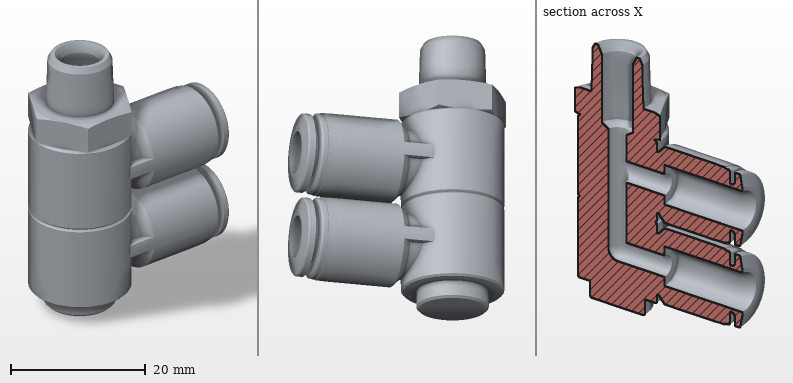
import cadquery as cq
import math


total_height = 41.6
pin_height = 2.65
sleeve_height = 13.25
sleeve_count = 2
hex_height = 4.5
hex_bottom = pin_height + sleeve_count * sleeve_height
hex_top = hex_bottom + hex_height

pin_radius = 10.78 / 2
pin_chamfer = 0.35
sleeve_radius = 15.4 / 2
sleeve_chamfer = 0.3
hex_across_flats = 14.3
hex_chamfer_angle = math.radians(15)
thread_base_radius = 10.2 / 2
thread_end_radius = 9.7 / 2
thread_tip_radius = 8.66 / 2
thread_tip_height = 0.9

bore_radius = 5.88 / 2
bore_mouth_radius = 7.5 / 2
mouth_half_angle = math.radians(30)
drill_half_angle = math.radians(59)
channel_radius = 3.4 / 2

branch_radius = 12.5 / 2
branch_rim_radius = 12.4 / 2
collar_radius = 12.1 / 2
collar_chamfer = 0.3
branch_neck_radius = 10.0 / 2
ring_radius = 11.8 / 2
ring_chamfer = 0.2
ring_face_radius = 7.5 / 2
ring_neck_radius = 7.75 / 2
ring_flare = 0.35
tube_bore_radius = 6.35 / 2

overall_depth = 32.45
hex_corner_radius = hex_across_flats / math.sqrt(3)
branch_end = overall_depth - hex_corner_radius
shoulder_y = 9.15
taper_start_y = 18.8
rim_y = 20.8
collar_end_y = 21.8
ring_back_y = 22.7
ring_front_y = 23.8

branch_drop = 0.12
tab_thickness = 2.0


def branch_height(index):
    return pin_height + (index + 0.5) * sleeve_height - branch_drop


def cylinder(radius, bottom, height):
    return cq.Workplane("XY").workplane(offset=bottom).circle(radius).extrude(height)


def make_pin():
    pin = cylinder(pin_radius, 0, pin_height + sleeve_height / 2)
    return pin.faces("<Z").edges().chamfer(pin_chamfer)


def make_sleeve(index):
    sleeve = cylinder(sleeve_radius, pin_height + index * sleeve_height, sleeve_height)
    return sleeve.faces("<Z or >Z").edges().chamfer(sleeve_chamfer)


def make_hex():
    corner_angle = 30
    prism = (
        cq.Workplane("XY")
        .workplane(offset=hex_bottom)
        .polygon(6, 2 * hex_corner_radius)
        .extrude(hex_height)
        .rotate((0, 0, 0), (0, 0, 1), corner_angle)
    )
    face_radius = hex_across_flats / 2
    corner_drop = (hex_corner_radius - face_radius) * math.tan(hex_chamfer_angle)
    bevel = (
        cq.Workplane("XZ")
        .polyline([
            (0, hex_bottom),
            (face_radius, hex_bottom),
            (hex_corner_radius, hex_bottom + corner_drop),
            (hex_corner_radius, hex_top - corner_drop),
            (face_radius, hex_top),
            (0, hex_top),
        ])
        .close()
        .revolve(360, (0, 0), (0, 1))
    )
    return prism.intersect(bevel)


def make_thread():
    return (
        cq.Workplane("XZ")
        .polyline([
            (0, hex_top),
            (thread_base_radius, hex_top),
            (thread_end_radius, total_height - thread_tip_height),
            (thread_tip_radius, total_height),
            (0, total_height),
        ])
        .close()
        .revolve(360, (0, 0), (0, 1))
    )


def make_branch(z):
    barrel = (
        cq.Workplane("XY")
        .polyline([
            (0, 0),
            (branch_neck_radius, 0),
            (branch_neck_radius, shoulder_y - (branch_radius - branch_neck_radius)),
            (branch_radius, shoulder_y),
            (branch_radius, taper_start_y),
            (branch_rim_radius, rim_y),
            (collar_radius, rim_y),
            (collar_radius, collar_end_y - collar_chamfer),
            (collar_radius - collar_chamfer, collar_end_y),
            (ring_neck_radius, collar_end_y),
            (ring_neck_radius, ring_back_y - ring_flare),
            (ring_neck_radius + ring_flare, ring_back_y),
            (ring_radius, ring_back_y),
            (ring_radius, ring_front_y - ring_chamfer),
            (ring_radius - ring_chamfer, ring_front_y),
            (ring_face_radius, branch_end),
            (0, branch_end),
        ])
        .close()
        .revolve(360, (0, 0), (0, 1))
    )
    slab = cq.Workplane("XY").box(
        2 * branch_radius, taper_start_y, tab_thickness, centered=(True, False, True)
    )
    tab = cq.Workplane("XZ").circle(branch_radius).extrude(-taper_start_y).intersect(slab)
    return barrel.union(tab).translate((0, 0, z))


def make_stem_bore(bottom):
    mouth_depth = (bore_mouth_radius - bore_radius) / math.tan(mouth_half_angle)
    drill_depth = (bore_radius - channel_radius) / math.tan(drill_half_angle)
    return (
        cq.Workplane("XZ")
        .polyline([
            (0, bottom),
            (channel_radius, bottom),
            (channel_radius, hex_bottom - drill_depth),
            (bore_radius, hex_bottom),
            (bore_radius, total_height - mouth_depth),
            (bore_mouth_radius, total_height),
            (0, total_height),
        ])
        .close()
        .revolve(360, (0, 0), (0, 1))
    )


def make_branch_bore(z):
    arc_offset = channel_radius * math.sqrt(0.5)
    return (
        cq.Workplane("XY")
        .moveTo(0, -channel_radius)
        .threePointArc((arc_offset, -arc_offset), (channel_radius, 0))
        .lineTo(channel_radius, shoulder_y)
        .lineTo(tube_bore_radius, shoulder_y)
        .lineTo(tube_bore_radius, branch_end)
        .lineTo(0, branch_end)
        .close()
        .revolve(360, (0, 0), (0, 1))
        .translate((0, 0, z))
    )


result = make_pin().union(make_hex()).union(make_thread())
for index in range(sleeve_count):
    result = result.union(make_sleeve(index))
    result = result.union(make_branch(branch_height(index)))

result = result.cut(make_stem_bore(branch_height(0)))
for index in range(sleeve_count):
    result = result.cut(make_branch_bore(branch_height(index)))